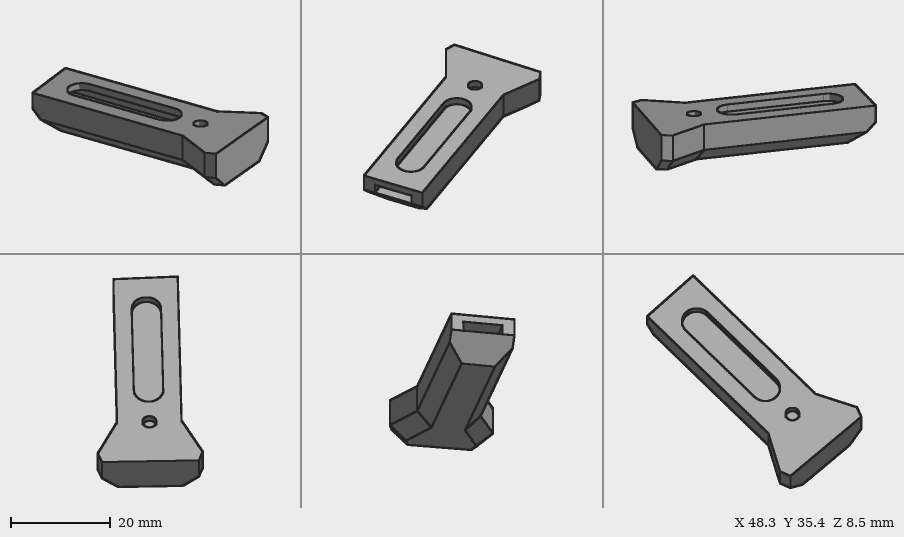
import cadquery as cq

thickness = 8.5
axis_angle = 27.5

handle_half_width = 6.45
handle_length = 35.8
end_skew = 0.2

head_length = 45.8
head_corner_start = 43.6
head_half_width = 10.5
head_face_half_width = 9.7

side_bevel = 3.05
end_face_height = 3.5
end_bevel = thickness - end_face_height

channel_width = 8.05
channel_top = 1.55
channel_height = end_face_height - channel_top
channel_end = 38.2

slot_radius = 2.95
slot_start = 7.8
slot_end = 28.0
hole_diameter = 2.8
hole_position = 35.95


def make_body():
    """Flared plate with a bevelled underside and an upright head face."""
    lower_side = [
        (end_skew, -handle_half_width),
        (handle_length, -handle_half_width),
        (head_corner_start, -head_half_width),
        (head_length, -head_face_half_width),
    ]
    upper_side = [(x, -y) for x, y in reversed(lower_side[1:])]
    upper_side.append((-end_skew, handle_half_width))
    body = cq.Workplane("XY").polyline(lower_side + upper_side).close().extrude(-thickness)
    body = body.faces("<Z").edges("<X").chamfer(end_bevel)
    return body.faces("<Z").edges("not(<X or >X)").chamfer(side_bevel)


def make_channel():
    """Flat rectangular channel, open at the free end."""
    start = -2 * end_skew
    length = channel_end - start
    channel = cq.Workplane("XY").box(length, channel_width, channel_height, centered=(False, True, False))
    return channel.translate((start, 0, -end_face_height))


def make_slot():
    """Round-ended window above the channel."""
    window = cq.Workplane("XY").center((slot_start + slot_end) / 2, 0)
    return window.slot2D(slot_end - slot_start + 2 * slot_radius, 2 * slot_radius).extrude(-channel_top)


def make_hole():
    """Round hole above the channel, inside the head."""
    return cq.Workplane("XY").center(hole_position, 0).circle(hole_diameter / 2).extrude(-channel_top)


part = make_body().cut(make_channel()).cut(make_slot()).cut(make_hole())
result = part.rotate((0, 0, 0), (0, 0, 1), axis_angle)